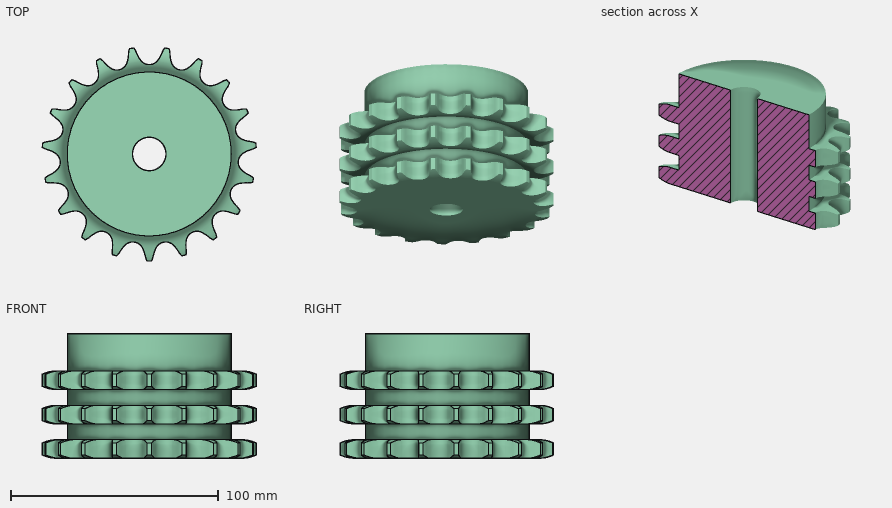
import cadquery as cq
import math


chain_pitch = 15.875
roller_diameter = 10.16
strand_spacing = 16.55
strand_count = 3

tooth_count = 19
tip_radius = 103.3 / 2
disc_thickness = 9.0
relief_radius = 16.0
relief_depth = 1.6
rim_clearance = 0.5
hub_diameter = 79.0
bore_diameter = 16.0
total_height = 60.0

seating_clearance = 0.0381
half_pitch_angle = math.pi / tooth_count
pitch_radius = chain_pitch / (2 * math.sin(half_pitch_angle))
seating_radius = 0.5025 * roller_diameter + seating_clearance
working_center_distance = 0.8 * roller_diameter
working_radius = seating_radius + working_center_distance
topping_center_distance = 1.4 * roller_diameter
seating_angle = math.radians(35 + 60 / tooth_count)
working_angle = math.radians(18 - 56 / tooth_count)
straight_angle = seating_angle - working_angle
topping_angle = math.radians(17 - 64 / tooth_count)
straight_length = (
    topping_center_distance * math.sin(topping_angle)
    - working_center_distance * math.sin(working_angle)
)


def polar(center, radius, angle):
    return (center[0] + radius * math.cos(angle), center[1] + radius * math.sin(angle))


def direction(start, end):
    return math.atan2(end[1] - start[1], end[0] - start[0])


def flank_points():
    """Points of one flank, from gap bottom to tooth tip, for a gap centred on +Y.

    They define the seating arc, the working arc, the straight part and the topping arc;
    each arc is given by its ends and a point in the middle.
    """
    roller_center = (0, pitch_radius)
    working_center = polar(roller_center, working_center_distance, seating_angle)
    topping_center = polar(roller_center, topping_center_distance, math.pi + half_pitch_angle)

    seating_end_angle = math.pi + seating_angle
    seating_mid_angle = (seating_end_angle + 1.5 * math.pi) / 2
    gap_bottom = polar(roller_center, seating_radius, 1.5 * math.pi)
    seating_mid = polar(roller_center, seating_radius, seating_mid_angle)
    seating_end = polar(roller_center, seating_radius, seating_end_angle)

    working_end_angle = math.pi + straight_angle
    working_mid = polar(working_center, working_radius, working_end_angle + working_angle / 2)
    working_end = polar(working_center, working_radius, working_end_angle)

    straight_end = polar(working_end, straight_length, straight_angle + math.pi / 2)
    topping_radius = math.dist(topping_center, straight_end)

    center_radius = math.hypot(*topping_center)
    tip_offset_angle = math.acos(
        (center_radius**2 + tip_radius**2 - topping_radius**2) / (2 * center_radius * tip_radius)
    )
    tip_corner = polar((0, 0), tip_radius, direction((0, 0), topping_center) - tip_offset_angle)
    topping_start_angle = direction(topping_center, straight_end)
    topping_end_angle = direction(topping_center, tip_corner)
    topping_mid = polar(topping_center, topping_radius, (topping_start_angle + topping_end_angle) / 2)

    return [
        gap_bottom, seating_mid, seating_end, working_mid, working_end,
        straight_end, topping_mid, tip_corner,
    ]


def rotated(point, angle):
    return polar((0, 0), math.hypot(*point), direction((0, 0), point) + angle)


def toothed_blank():
    """Straight toothed prism, as thick as one disc."""
    left_flank = flank_points()
    right_flank = [(-x, y) for x, y in left_flank]
    gap_step = 2 * half_pitch_angle
    profile = cq.Workplane("XY").moveTo(*left_flank[0])
    for gap in range(tooth_count):
        gap_angle = gap * gap_step
        next_angle = gap_angle + gap_step
        up = [rotated(point, gap_angle) for point in left_flank]
        down = [rotated(point, next_angle) for point in right_flank]
        tip_mid = rotated((0, tip_radius), gap_angle + half_pitch_angle)
        profile = (
            profile.threePointArc(up[1], up[2])
            .threePointArc(up[3], up[4])
            .lineTo(*up[5])
            .threePointArc(up[6], up[7])
            .threePointArc(tip_mid, down[7])
            .threePointArc(down[6], down[5])
            .lineTo(*down[4])
            .threePointArc(down[3], down[2])
            .threePointArc(down[1], down[0])
        )
    return profile.close().extrude(disc_thickness)


def relief_envelope():
    """Revolved disc whose faces curve inwards towards the tooth tips."""
    relief_length = math.sqrt(relief_radius**2 - (relief_radius - relief_depth) ** 2)
    start_radius = tip_radius - relief_length

    def depth_at(radius):
        return relief_radius - math.sqrt(relief_radius**2 - (radius - start_radius) ** 2)

    rim_radius = tip_radius + rim_clearance
    rim_depth = depth_at(rim_radius)
    mid_radius = (start_radius + rim_radius) / 2
    mid_depth = depth_at(mid_radius)
    return (
        cq.Workplane("XZ")
        .lineTo(start_radius, 0)
        .threePointArc((mid_radius, mid_depth), (rim_radius, rim_depth))
        .lineTo(rim_radius, disc_thickness - rim_depth)
        .threePointArc((mid_radius, disc_thickness - mid_depth), (start_radius, disc_thickness))
        .lineTo(0, disc_thickness)
        .close()
        .revolve(360, (0, 0), (0, 1))
    )


def hub():
    return cq.Workplane("XY").circle(hub_diameter / 2).extrude(total_height)


def bore():
    return cq.Workplane("XY").circle(bore_diameter / 2).extrude(total_height)


toothed_disc = toothed_blank().intersect(relief_envelope())
sprocket = hub()
for strand in range(strand_count):
    sprocket = sprocket.union(toothed_disc.translate((0, 0, strand * strand_spacing)))

result = sprocket.cut(bore())